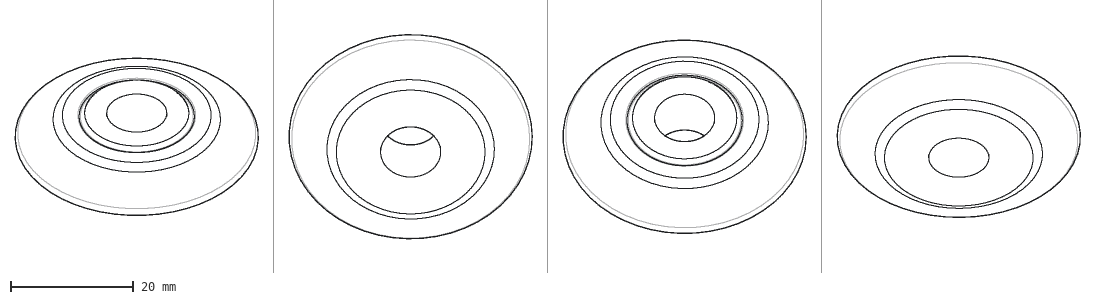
import cadquery as cq
import math


tip_radius = 19.84
roller_width = 9.0
cone_angle = math.radians(27.5)
rim_fillet = 0.8

bore_radius = 4.9
hub_radius = 13.65
boss_radius = 8.5
boss_height = 0.5

groove_radius = 9.6
lip_fillet = 0.2

mid_z = roller_width / 2
boss_top_z = roller_width + boss_height
groove_floor_z = roller_width - lip_fillet
groove_wall_radius = groove_radius - lip_fillet
boss_fillet = boss_top_z - groove_floor_z
boss_foot_radius = boss_radius + boss_fillet

rim_center_radius = tip_radius - rim_fillet
rim_tangent_radius = rim_center_radius + rim_fillet * math.sin(cone_angle)
rim_tangent_rise = rim_fillet * math.cos(cone_angle)
face_radius = rim_tangent_radius - (mid_z - rim_tangent_rise) / math.tan(cone_angle)
hub_edge_z = (hub_radius - face_radius) * math.tan(cone_angle)

ARC_MID = math.sqrt(0.5)


def revolve_profile(profile):
    """Revolve a closed (radius, height) profile about the Z axis."""
    return profile.close().revolve(360, (0, 0, 0), (0, 1, 0))


def make_tread():
    """Ring with two conical flanks and a rounded rim."""
    profile = (
        cq.Workplane("XZ")
        .moveTo(hub_radius, hub_edge_z)
        .lineTo(rim_tangent_radius, mid_z - rim_tangent_rise)
        .threePointArc((tip_radius, mid_z), (rim_tangent_radius, mid_z + rim_tangent_rise))
        .lineTo(hub_radius, roller_width - hub_edge_z)
    )
    return revolve_profile(profile)


def make_hub():
    """Bored hub that continues the flanks and carries a boss inside a shallow groove."""
    lip_mid = (groove_radius - lip_fillet * ARC_MID, groove_floor_z + lip_fillet * ARC_MID)
    boss_mid = (boss_foot_radius - boss_fillet * ARC_MID, boss_top_z - boss_fillet * ARC_MID)
    profile = (
        cq.Workplane("XZ")
        .moveTo(bore_radius, 0)
        .lineTo(face_radius, 0)
        .lineTo(hub_radius, hub_edge_z)
        .lineTo(hub_radius, roller_width - hub_edge_z)
        .lineTo(face_radius, roller_width)
        .lineTo(groove_radius, roller_width)
        .threePointArc(lip_mid, (groove_wall_radius, groove_floor_z))
        .lineTo(boss_foot_radius, groove_floor_z)
        .threePointArc(boss_mid, (boss_radius, boss_top_z))
        .lineTo(bore_radius, boss_top_z)
    )
    return revolve_profile(profile)


tread = make_tread()
hub = make_hub()

result = cq.Compound.makeCompound([tread.val(), hub.val()])